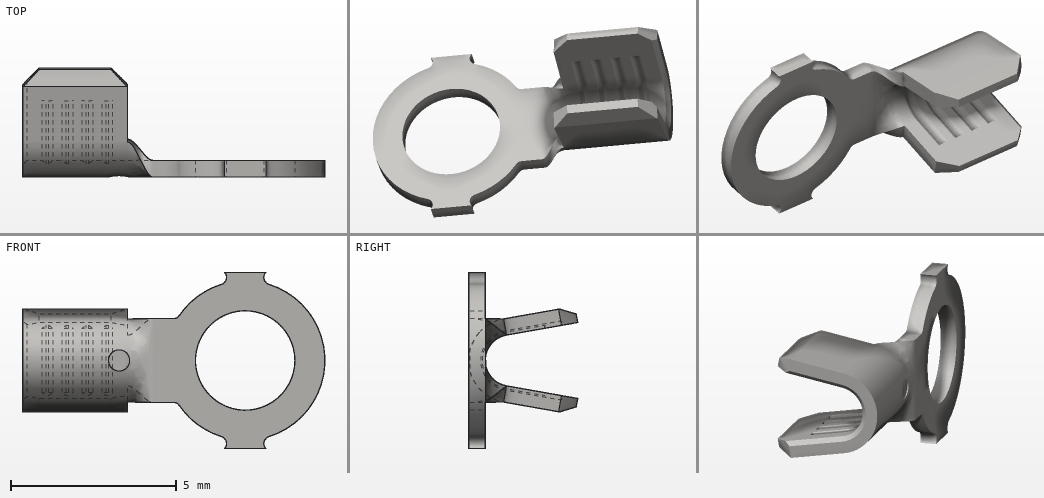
import cadquery as cq
import math

sheet = 0.5
ring_radius = 2.41
hole_radius = 1.5
neck_half_width = 1.27
neck_fillet = 0.2
total_height = 5.33
tab_waist = 1.13
relief_radius = 0.22

total_length = 9.14
barrel_depth = 3.3
barrel_length = 3.17
barrel_radius = 1.28
leg_angle = math.radians(10)
entry_chamfer = 0.14
tip_corner = 0.5
tip_bevel_length = 0.475
tip_bevel_depth = 0.24
dimple_radius = 0.32
dimple_depth = 0.05
dimple_inset = 0.26

groove_count = 4
groove_pitch = 0.6
groove_width = 0.33
groove_floor = 0.07
groove_depth = 0.09
groove_reach = 1.19

transition_length = 0.78
transition_steps = 6

barrel_start = ring_radius - total_length
barrel_end = barrel_start + barrel_length
neck_start = barrel_end + transition_length
inner_radius = barrel_radius - sheet
leg_sin = math.sin(leg_angle)
leg_cos = math.cos(leg_angle)
leg_length = (barrel_depth - barrel_radius + inner_radius * leg_sin) / leg_cos


def leg_point(radius, along, side=1):
    """(Y, Z) at a distance from the barrel axis and a distance along a leg."""
    y = barrel_radius - radius * leg_sin + along * leg_cos
    z = radius * leg_cos + along * leg_sin
    return y, side * z


def bottom_point(radius):
    """(Y, Z) at the middle of the barrel's rounded bottom."""
    return barrel_radius - radius, 0


def section_plane(x):
    return cq.Workplane("YZ", origin=(x, 0, 0))


def channel_profile(plane, radius, reach):
    """Closed outline of the space between two legs, with its round bottom."""
    return (
        plane.moveTo(*leg_point(radius, reach))
        .lineTo(*leg_point(radius, 0))
        .threePointArc(bottom_point(radius), leg_point(radius, 0, -1))
        .lineTo(*leg_point(radius, reach, -1))
        .close()
    )


def channel_frustum(x, length, start_radius, end_radius, reach):
    """Channel-shaped solid whose walls change radius along X."""
    start = channel_profile(section_plane(x), start_radius, reach)
    both = channel_profile(start.workplane(offset=length), end_radius, reach)
    return both.loft(ruled=True, combine=True)


def make_ring():
    """Ring and neck with two opposite tabs that have round reliefs beside them."""
    neck = (
        cq.Workplane("XZ")
        .rect(-neck_start, 2 * neck_half_width)
        .extrude(-sheet)
        .translate((neck_start / 2, 0, 0))
    )
    ring = cq.Workplane("XZ").circle(ring_radius).extrude(-sheet).union(neck)
    corner_x = -math.sqrt(ring_radius**2 - neck_half_width**2)
    margin = 0.09
    corners = cq.selectors.BoxSelector(
        (corner_x - margin, -margin, -neck_half_width - margin),
        (corner_x + margin, sheet + margin, neck_half_width + margin),
    )
    ring = ring.edges("|Y").edges(corners).fillet(neck_fillet)

    relief_x = tab_waist / 2 + relief_radius
    relief_distance = ring_radius + relief_radius
    relief_z = math.sqrt(relief_distance**2 - relief_x**2)
    tab_width = 2 * relief_x * ring_radius / relief_distance
    tabs = cq.Workplane("XZ").rect(tab_width, total_height).extrude(-sheet)
    reliefs = (
        cq.Workplane("XZ")
        .rect(2 * relief_x, 2 * relief_z, forConstruction=True)
        .vertices()
        .circle(relief_radius)
        .extrude(-sheet)
    )
    hole = cq.Workplane("XZ").circle(hole_radius).extrude(-sheet)
    return ring.union(tabs.cut(reliefs)).cut(hole)


def make_barrel():
    """Bent U with clipped and bevelled leg tips."""
    bevel_start = leg_length - tip_bevel_length
    barrel = (
        section_plane(barrel_start)
        .moveTo(*leg_point(inner_radius, leg_length))
        .lineTo(*leg_point(barrel_radius, leg_length))
        .lineTo(*leg_point(barrel_radius, 0))
        .threePointArc(bottom_point(barrel_radius), leg_point(barrel_radius, 0, -1))
        .lineTo(*leg_point(barrel_radius, leg_length, -1))
        .lineTo(*leg_point(inner_radius, leg_length, -1))
        .lineTo(*leg_point(inner_radius, 0, -1))
        .threePointArc(bottom_point(inner_radius), leg_point(inner_radius, 0))
        .close()
        .extrude(barrel_length)
    )
    for side in (1, -1):
        through_leg = cq.Vector(0, -leg_sin, side * leg_cos)
        tip_edges = cq.selectors.ParallelDirSelector(through_leg)
        barrel = barrel.edges(tip_edges).chamfer(tip_corner)
        bevel = (
            section_plane(barrel_start)
            .moveTo(*leg_point(barrel_radius, bevel_start, side))
            .lineTo(*leg_point(barrel_radius, leg_length, side))
            .lineTo(*leg_point(barrel_radius - tip_bevel_depth, leg_length, side))
            .close()
            .extrude(barrel_length)
        )
        barrel = barrel.cut(bevel)
    return barrel


def make_entry_chamfer():
    """Cutter that opens the inside edge of the free end."""
    wide_radius = inner_radius + entry_chamfer
    return channel_frustum(barrel_start, entry_chamfer, wide_radius, inner_radius, 2 * leg_length)


def make_groove(center_x):
    """Cutter for one trapezoidal groove wrapping the inside of the barrel."""
    floor_radius = inner_radius + groove_depth
    flank = (groove_width - groove_floor) / 2
    start = center_x - groove_width / 2
    floor_start = start + flank
    floor_end = floor_start + groove_floor
    rising = channel_frustum(start, flank, inner_radius, floor_radius, groove_reach)
    floor = channel_profile(section_plane(floor_start), floor_radius, groove_reach).extrude(groove_floor)
    falling = channel_frustum(floor_end, flank, floor_radius, inner_radius, groove_reach)
    return rising.union(floor).union(falling)


def make_transition():
    """Sheet that flattens smoothly from the barrel's round bottom to the neck."""
    outer_y, outer_z = leg_point(barrel_radius, 0)
    inner_y, inner_z = leg_point(inner_radius, 0)
    sections = section_plane(barrel_end)
    for step in range(transition_steps + 1):
        along = step / transition_steps
        flatness = along**2 * (3 - 2 * along)
        outer = (
            outer_y * (1 - flatness),
            outer_z + (neck_half_width - outer_z) * flatness,
        )
        inner = (
            inner_y + (sheet - inner_y) * flatness,
            inner_z + (neck_half_width - inner_z) * flatness,
        )
        if step > 0:
            sections = sections.workplane(offset=transition_length / transition_steps)
        sections = sections.moveTo(outer[0], -outer[1])
        if step < transition_steps:
            sections = sections.threePointArc((0, 0), outer).lineTo(*inner)
            sections = sections.threePointArc((sheet, 0), (inner[0], -inner[1])).close()
        else:
            sections = sections.lineTo(*outer).lineTo(*inner)
            sections = sections.lineTo(inner[0], -inner[1]).close()
    return sections.loft(combine=True)


def make_dimple():
    """Cutter for the shallow round flat on the barrel's bottom."""
    dimple_x = barrel_end - dimple_inset
    return (
        cq.Workplane("XZ", origin=(dimple_x, 0, 0))
        .circle(dimple_radius)
        .extrude(-dimple_depth)
    )


barrel = make_barrel().cut(make_entry_chamfer())
groove_middle = (barrel_start + entry_chamfer + barrel_end) / 2
for index in range(groove_count):
    groove_offset = (index - (groove_count - 1) / 2) * groove_pitch
    barrel = barrel.cut(make_groove(groove_middle + groove_offset))

result = barrel.union(make_transition()).union(make_ring()).cut(make_dimple())